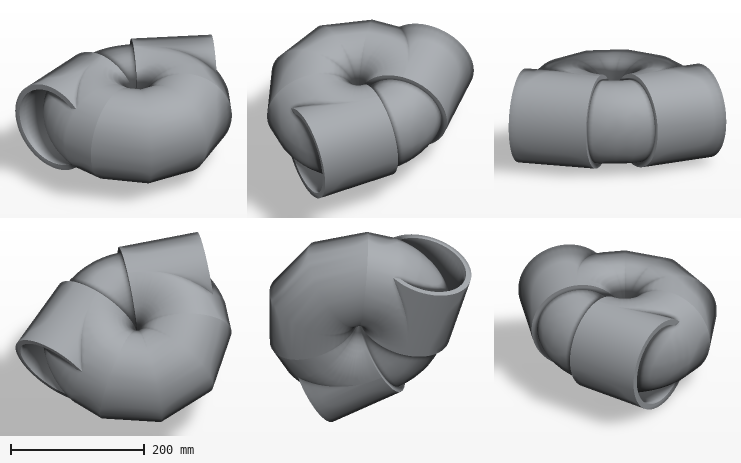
import cadquery as cq

pipe_diameter = 140.0
wall = 8.5
bend_angle = 45
end_angle = 100
middle_angle = 360 - bend_angle - 2 * end_angle
front_socket_length = 115.8
rear_socket_length = 119.5

outer_radius = pipe_diameter / 2
bore_radius = outer_radius - wall
axis_clearance = 0.05
bend_radius = outer_radius + axis_clearance


def ring_sector(section_radius, angle):
    """Solid ring sector about Z, starting on -X and turning counterclockwise."""
    section = cq.Workplane("XZ").center(-bend_radius, 0).circle(section_radius)
    return section.revolve(angle, (bend_radius, 0, 0), (bend_radius, 1, 0))


def turn(body, angle):
    return body.rotate((0, 0, 0), (0, 0, 1), angle)


def socket(length):
    """Open straight tube running from the -X end of the ring toward -Y."""
    section = cq.Workplane("XZ").center(-bend_radius, 0)
    return section.circle(outer_radius).circle(bore_radius).extrude(length)


def thick_end(socket_length):
    """End sector of the thick ring, starting on -X, with its socket overlapping it."""
    sector = ring_sector(outer_radius, end_angle)
    return sector.union(socket(socket_length), clean=False)


front_end = thick_end(front_socket_length)
middle = turn(ring_sector(outer_radius, middle_angle), end_angle)
rear_end = turn(thick_end(rear_socket_length).mirror("XZ"), -bend_angle)

slim_bend = turn(ring_sector(bore_radius, bend_angle), -bend_angle)

result = front_end
for sector in (middle, rear_end, slim_bend):
    result = result.union(sector, clean=False)